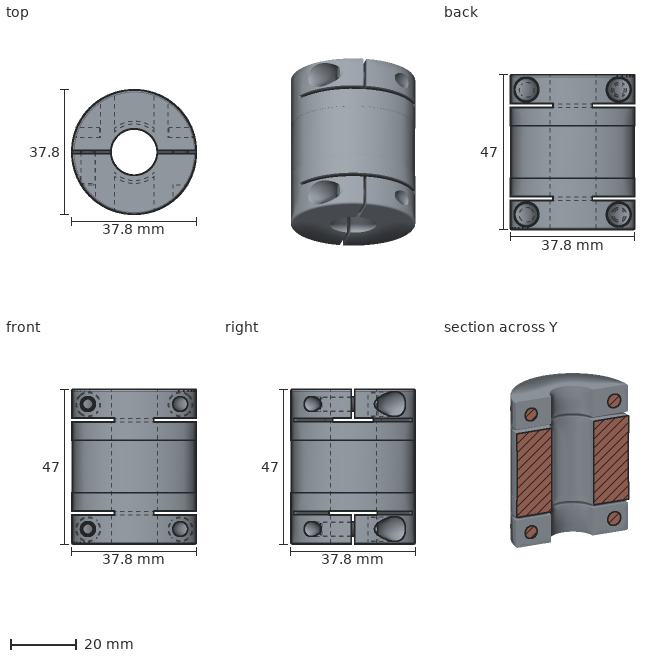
import cadquery as cq


outer_diameter = 37.8
waist_diameter = 37.6
bore_diameter = 14.0
length = 47.0
waist_length = 16.0
rim_round = 0.6

slit_width = 1.1
slit_centre_z = 14.1
neck_width = 12.0
upper_relief_diameter = 17.2
lower_relief_diameter = 18.9

clamp_gap = 1.0

screw_offset_x = 14.0
screw_end_distance = 4.55
screw_hole_diameter = 4.5
loose_shank_diameter = 4.2
tip_chamfer = 0.5
screw_tip_y = -9.95
head_diameter = 7.0
pocket_diameter = 7.5
pocket_floor_y = 4.5
head_top_y = 7.5

half_length = length / 2
outer_radius = outer_diameter / 2
screw_z = half_length - screw_end_distance
hub_length = half_length - slit_centre_z
cut_size = 2 * outer_diameter


def cylinder_along_z(diameter, height):
    """Cylinder on the coupling axis, centred on the origin."""
    base = cq.Vector(0, 0, -height / 2)
    return cq.Workplane(cq.Solid.makeCylinder(diameter / 2, height, base))


def cylinder_along_y(diameter, x, z, y_start, y_end):
    """Cylinder parallel to Y between two Y positions."""
    start = cq.Vector(x, y_start, z)
    direction = cq.Vector(0, 1, 0)
    return cq.Workplane(cq.Solid.makeCylinder(diameter / 2, y_end - y_start, start, direction))


def make_body():
    """Rounded cylinder with a shallow waist and a through bore."""
    body = cylinder_along_z(outer_diameter, length).faces("<Z or >Z").edges().fillet(rim_round)
    waist_ring = cylinder_along_z(cut_size, waist_length)
    waist_ring = waist_ring.cut(cylinder_along_z(waist_diameter, waist_length))
    return body.cut(waist_ring).cut(cylinder_along_z(bore_diameter, length))


def make_slit(z, relief_diameter):
    """Slit open on both X sides, with a round relief around the bore."""
    slab = cq.Workplane("XY").box(cut_size, cut_size, slit_width)
    neck = cq.Workplane("XY").box(neck_width, cut_size, slit_width)
    relief = cylinder_along_z(relief_diameter, slit_width)
    return slab.cut(neck).union(relief).translate((0, 0, z))


def make_clamp_gap(side):
    """Gap from the slit out through the end face; side is +1 for top, -1 for bottom."""
    gap = cq.Workplane("XY").box(cut_size, clamp_gap, hub_length)
    return gap.translate((0, 0, side * (slit_centre_z + hub_length / 2)))


def make_screw_cutter(x, z):
    """Head pocket open toward +Y and a hole through the -Y jaw."""
    pocket = cylinder_along_y(pocket_diameter, x, z, pocket_floor_y, outer_radius)
    hole = cylinder_along_y(screw_hole_diameter, x, z, -outer_radius, 0)
    return pocket.union(hole)


def make_screw(x, z, shank_diameter, chamfer):
    """Screw with its head seated on the pocket floor and its tip inside the -Y jaw."""
    shank = cylinder_along_y(shank_diameter, x, z, screw_tip_y, head_top_y)
    if chamfer > 0:
        shank = shank.faces("<Y").edges().chamfer(chamfer)
    head = cylinder_along_y(head_diameter, x, z, pocket_floor_y, head_top_y)
    return shank.union(head)


def add_screws(coupling, z):
    """One loose chamfered screw on the -X side, one full-size plain screw on the +X side."""
    screws = (
        (-screw_offset_x, loose_shank_diameter, tip_chamfer),
        (screw_offset_x, screw_hole_diameter, 0),
    )
    for x, shank_diameter, chamfer in screws:
        coupling = coupling.cut(make_screw_cutter(x, z))
        coupling = coupling.union(make_screw(x, z, shank_diameter, chamfer))
    return coupling


def make_coupling():
    coupling = make_body()
    for side, relief_diameter in ((1, upper_relief_diameter), (-1, lower_relief_diameter)):
        coupling = coupling.cut(make_slit(side * slit_centre_z, relief_diameter))
        coupling = coupling.cut(make_clamp_gap(side))
        coupling = add_screws(coupling, side * screw_z)
    return coupling


result = make_coupling()